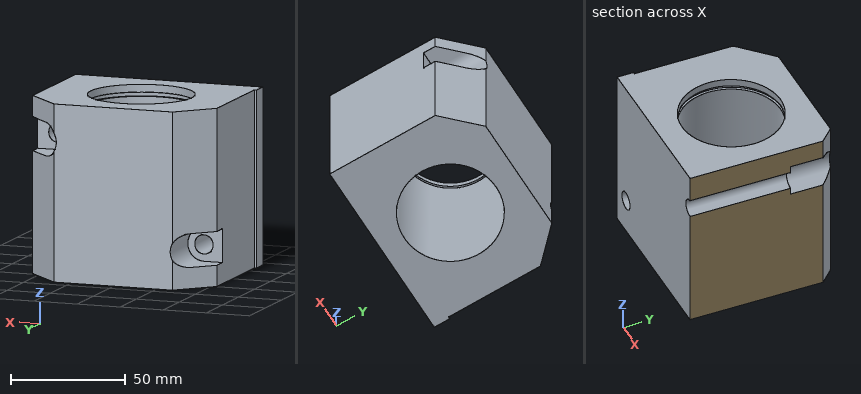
import cadquery as cq

length = 87.0
depth = 70.0
height = 79.0
corner_chamfer = 16.0

relief_depth = 1.0
strip_width = 8.0

bore_diameter = 47.0
groove_diameter = 49.5
groove_offset = 3.5
groove_width = 1.8

bolt_diameter = 8.5
bolt_inset_x = 9.6
bolt_inset_z = 17.0
seat_width = 15.0
seat_depth = 22.0


def make_block():
    block = cq.Workplane("XY").box(length, depth, height, centered=False)
    block = block.edges("|Z and >Y").chamfer(corner_chamfer)
    relief = (
        cq.Workplane("XY")
        .box(relief_depth, depth - strip_width, height, centered=False)
        .translate((0, strip_width, 0))
    )
    return block.cut(relief)


def vertical_cylinder(diameter, bottom, cylinder_height):
    return (
        cq.Workplane("XY", origin=(length / 2, depth / 2, bottom))
        .circle(diameter / 2)
        .extrude(cylinder_height)
    )


def make_bolt_cut(x, z, side_x):
    """Through hole along Y plus a U-shaped seat from the back, open at side_x."""
    hole = cq.Workplane("XZ", origin=(x, 0, z)).circle(bolt_diameter / 2).extrude(-depth)
    seat_plane = cq.Workplane("XZ", origin=(x, depth, z))
    seat_end = seat_plane.circle(seat_width / 2).extrude(seat_depth)
    seat_mouth = (
        seat_plane.center((side_x - x) / 2, 0)
        .rect(abs(side_x - x), seat_width)
        .extrude(seat_depth)
    )
    return hole.union(seat_end).union(seat_mouth)


result = make_block()
result = result.cut(vertical_cylinder(bore_diameter, 0, height))
groove_bottom = height - groove_offset - groove_width
result = result.cut(vertical_cylinder(groove_diameter, groove_bottom, groove_width))

result = result.cut(make_bolt_cut(bolt_inset_x, bolt_inset_z, 0))
result = result.cut(make_bolt_cut(length - bolt_inset_x, height - bolt_inset_z, length))